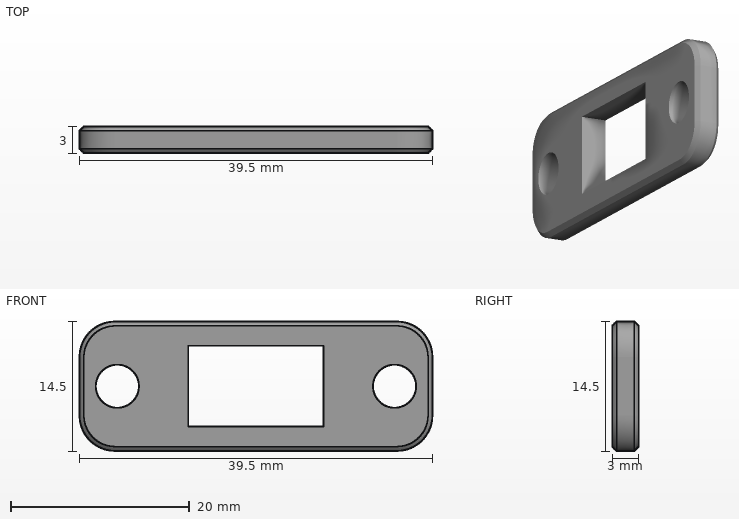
import cadquery as cq

length = 39.5
thickness = 3.0
height = 14.5
corner_radius = 4.0
edge_chamfer = 0.5

window_length = 15.1
window_height = 9.0

hole_diameter = 4.8
hole_spacing = 31.0


def make_plate():
    """Rounded plate with both rims chamfered, centered on the origin."""
    plate = cq.Workplane("XY").box(length, thickness, height)
    plate = plate.edges("|Y").fillet(corner_radius)
    return plate.faces("<Y or >Y").chamfer(edge_chamfer)


def make_window():
    return cq.Workplane("XY").box(window_length, thickness, window_height)


def make_mounting_holes():
    hole_centers = [(-hole_spacing / 2, 0), (hole_spacing / 2, 0)]
    return (
        cq.Workplane("XZ")
        .pushPoints(hole_centers)
        .circle(hole_diameter / 2)
        .extrude(thickness / 2, both=True)
    )


result = make_plate().cut(make_window()).cut(make_mounting_holes())